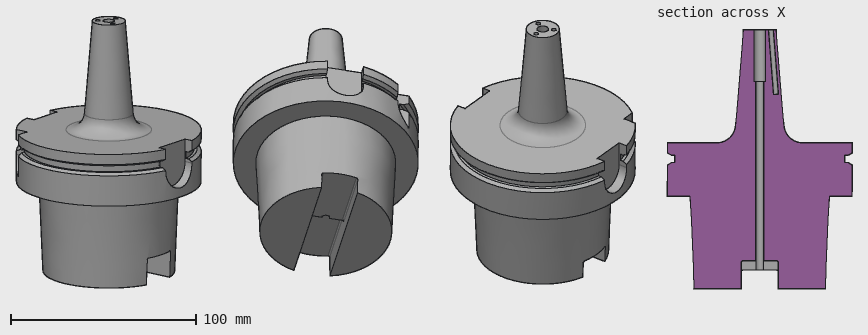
import cadquery as cq
import math

total_height = 140.0
flange_radius = 50.0
shank_length = 50.0
flange_top = 79.0
shank_top_radius = 37.8
shank_bottom_radius = 35.7

nose_tip_radius = 9.0
nose_half_angle = math.radians(4.5)
root_fillet = 10.0
root_radius = 23.1

groove_middle = 70.1
groove_floor_width = 3.8
groove_mouth_width = 6.3
groove_floor_radius = 46.0
groove_chamfer_depth = 2.2

pocket_floor_x = 44.0
pocket_radius = 10.0
wide_pocket_radius = 11.2
pocket_bottom = 55.2
notch_wall = 31.4

slot_width = 19.9
slot_corner_radius = 0.8
shallow_slot_depth = 10.1
deep_slot_depth = 15.1

bore_radius = 3.1
bore_depth = 28.0
through_radius = 2.1
coolant_radius = 1.3
coolant_circle_radius = 6.0
coolant_depth = 35.0
coolant_count = 3


def make_body():
    """Revolve the shank, grooved flange and nose with its tangent root fillet."""
    fillet_middle_angle = (math.pi / 2 + nose_half_angle) / 2
    fillet_center_z = flange_top + root_fillet

    def fillet_point(angle):
        return (
            root_radius - root_fillet * math.sin(angle),
            fillet_center_z - root_fillet * math.cos(angle),
        )

    half_mouth = groove_mouth_width / 2
    half_floor = groove_floor_width / 2
    chamfer_radius = flange_radius - groove_chamfer_depth
    return (
        cq.Workplane("XZ")
        .lineTo(shank_bottom_radius, 0)
        .lineTo(shank_top_radius, shank_length)
        .lineTo(flange_radius, shank_length)
        .lineTo(flange_radius, groove_middle - half_mouth)
        .lineTo(chamfer_radius, groove_middle - half_floor)
        .lineTo(groove_floor_radius, groove_middle - half_floor)
        .lineTo(groove_floor_radius, groove_middle + half_floor)
        .lineTo(chamfer_radius, groove_middle + half_floor)
        .lineTo(flange_radius, groove_middle + half_mouth)
        .lineTo(flange_radius, flange_top)
        .lineTo(root_radius, flange_top)
        .threePointArc(fillet_point(fillet_middle_angle), fillet_point(math.pi / 2 - nose_half_angle))
        .lineTo(nose_tip_radius, total_height)
        .lineTo(0, total_height)
        .close()
        .revolve(360, (0, 0, 0), (0, 1, 0))
    )


def pocket_cutter(radius, center_y, inner_x, side):
    """Round-bottomed cutter running outward along X from inner_x (side is -1 or 1)."""
    center_z = pocket_bottom + radius
    profile = (
        cq.Workplane("YZ", origin=(side * inner_x, 0, 0))
        .moveTo(center_y - radius, flange_top)
        .lineTo(center_y - radius, center_z)
        .threePointArc((center_y, pocket_bottom), (center_y + radius, center_z))
        .lineTo(center_y + radius, flange_top)
        .close()
    )
    return profile.extrude(side * flange_radius)


def driving_slot_cutter(depth, side):
    """Slot from the axis outward through one side of the shank end."""
    return (
        cq.Workplane("XY")
        .box(shank_top_radius, slot_width, 2 * depth, centered=(False, True, True))
        .edges("|X and >Z")
        .fillet(slot_corner_radius)
        .rotate((0, 0, 0), (0, 0, 1), 0 if side > 0 else 180)
    )


def coolant_cutter(angle):
    """Drilled hole at the given angle (degrees) about Z, parallel to the nose wall."""
    overshoot = 1.4
    slope = math.tan(nose_half_angle)
    start = cq.Vector(coolant_circle_radius - overshoot * slope, 0, total_height + overshoot)
    direction = cq.Vector(slope, 0, -1)
    hole = cq.Solid.makeCylinder(coolant_radius, coolant_depth + overshoot, start, direction)
    return cq.Workplane(hole).rotate((0, 0, 0), (0, 0, 1), angle)


body = make_body()

body = body.cut(pocket_cutter(pocket_radius, 0, pocket_floor_x, -1))
body = body.cut(pocket_cutter(wide_pocket_radius, 0, pocket_floor_x, 1))
body = body.cut(pocket_cutter(pocket_radius, -notch_wall - pocket_radius, notch_wall, -1))

body = body.cut(driving_slot_cutter(shallow_slot_depth, -1))
body = body.cut(driving_slot_cutter(deep_slot_depth, 1))

nose_face = cq.Workplane("XY", origin=(0, 0, total_height))
body = body.cut(nose_face.circle(bore_radius).extrude(-bore_depth))
body = body.cut(nose_face.circle(through_radius).extrude(-total_height))
for index in range(coolant_count):
    body = body.cut(coolant_cutter(90 + index * 360 / coolant_count))

result = body